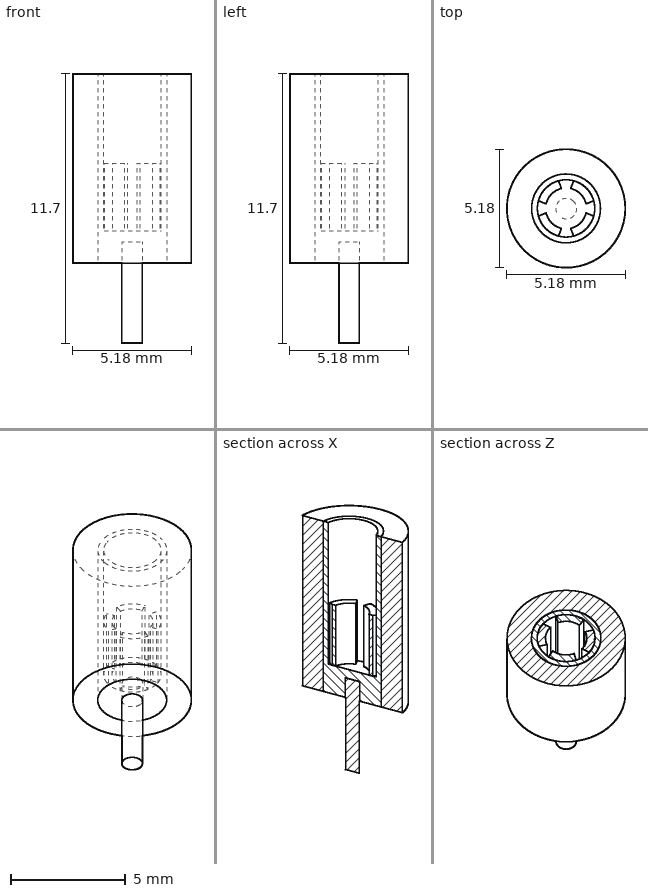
import cadquery as cq
import math

total_height = 11.74
pin_exposed_length = 3.49
housing_diameter = 5.18
sleeve_outer_diameter = 3.0
sleeve_bore_diameter = 2.5
pin_diameter = 0.9

floor_thickness = 1.41
pin_seat_depth = 0.94

finger_count = 4
finger_inner_diameter = 1.78
finger_height = 2.94
finger_gap_inner_width = 0.4
finger_gap_outer_width = 0.67

housing_height = total_height - pin_exposed_length
finger_pitch_angle = 360 / finger_count
finger_inner_radius = finger_inner_diameter / 2
finger_outer_radius = sleeve_bore_diameter / 2


def make_housing():
    """Round housing with a through bore that holds the sleeve."""
    return (
        cq.Workplane("XY")
        .circle(housing_diameter / 2)
        .circle(sleeve_outer_diameter / 2)
        .extrude(housing_height)
    )


def make_sleeve():
    """Cup-shaped sleeve, open at the top, with a pin seat under its floor."""
    body = cq.Workplane("XY").circle(sleeve_outer_diameter / 2).extrude(housing_height)
    bore = (
        cq.Workplane("XY", origin=(0, 0, floor_thickness))
        .circle(sleeve_bore_diameter / 2)
        .extrude(housing_height - floor_thickness)
    )
    pin_seat = cq.Workplane("XY").circle(pin_diameter / 2).extrude(pin_seat_depth)
    return body.cut(bore).cut(pin_seat)


def make_pin():
    """Straight pin that fills its seat and hangs below the housing."""
    return (
        cq.Workplane("XY", origin=(0, 0, -pin_exposed_length))
        .circle(pin_diameter / 2)
        .extrude(pin_exposed_length + pin_seat_depth)
    )


def corner_on_circle(radius, offset):
    """Point on a circle about the axis, near the X axis, at the given Y offset."""
    return (math.sqrt(radius**2 - offset**2), offset)


def make_finger(turn_angle):
    """Ring segment against the sleeve bore, with sides that close in on the gaps towards the axis."""
    inner_x, inner_y = corner_on_circle(finger_inner_radius, finger_gap_inner_width / 2)
    outer_x, outer_y = corner_on_circle(finger_outer_radius, finger_gap_outer_width / 2)
    inner_middle = finger_inner_radius * math.sqrt(0.5)
    outer_middle = finger_outer_radius * math.sqrt(0.5)
    return (
        cq.Workplane("XY", origin=(0, 0, floor_thickness))
        .moveTo(inner_x, inner_y)
        .lineTo(outer_x, outer_y)
        .threePointArc((outer_middle, outer_middle), (outer_y, outer_x))
        .lineTo(inner_y, inner_x)
        .threePointArc((inner_middle, inner_middle), (inner_x, inner_y))
        .close()
        .extrude(finger_height)
        .rotate((0, 0, 0), (0, 0, 1), turn_angle)
    )


housing = make_housing()
sleeve = make_sleeve()
pin = make_pin()

fingers = []
for index in range(finger_count):
    finger = make_finger(index * finger_pitch_angle)
    fingers.append(finger.val())

result = cq.Compound.makeCompound([housing.val(), sleeve.val(), pin.val(), *fingers])